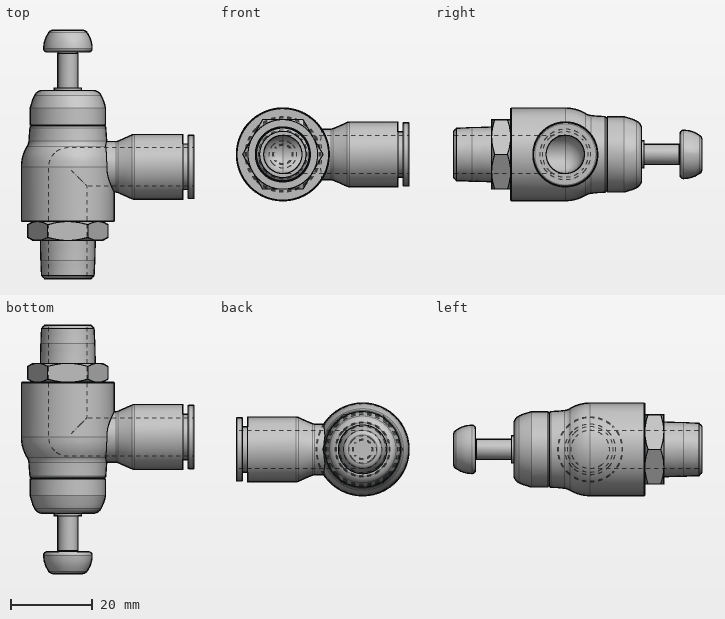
import cadquery as cq
import math


THREAD_TIP_RADIUS = 5.7
THREAD_CHAMFER_RADIUS = 6.45
THREAD_GAUGE_RADIUS, THREAD_GAUGE_HEIGHT = 6.65, 4.5
THREAD_ROOT_RADIUS = 6.8
THREAD_CHAMFER_TOP = 0.8
HEX_BOTTOM = 9.4
BORE_RADIUS = 4.7

HEX_ACROSS_FLATS = 17.1
HEX_CORNER_RADIUS = HEX_ACROSS_FLATS / math.sqrt(3)
HEX_CHAMFER_ANGLE = math.radians(30)

BODY_BOTTOM = 14.0
BODY_RADIUS = 11.4
BODY_EDGE_CHAMFER = 0.2
BRANCH_AXIS = 27.45
SHOULDER_RADIUS, SHOULDER_TOP = 10.0, 32.45
COLLAR_RADIUS, COLLAR_BOTTOM = 9.6, 33.75
COLLAR_TOP_RADIUS, COLLAR_TOP = 9.35, 37.0
GROOVE_RADIUS, GROOVE_BOTTOM, GROOVE_TOP = 9.0, 37.45, 37.75

CAP_RADIUS, CAP_CYLINDER_TOP = 9.3, 41.85
CAP_TAPER_MIDDLE = (8.85, 43.45)
CAP_TAPER_END = (8.2, 44.95)
CAP_FACE_RADIUS, CAP_TOP = 6.6, 46.2

STEM_COLLAR_RADIUS, STEM_COLLAR_TOP = 3.35, 46.8
STEM_RADIUS, STEM_TOP = 2.5, 55.25
STEM_NECK_RADIUS = 2.25
KNOB_RADIUS = 6.0
KNOB_BOTTOM = 55.6
KNOB_EDGE_ROUND = 0.9
KNOB_DOME_END = (4.7, 60.4)
KNOB_FACE_RADIUS = 3.55
TOTAL_LENGTH = 61.0

BRANCH_NECK_RADIUS = 6.2
BRANCH_RADIUS = 8.0
BRANCH_CONE_START = 12.1
BRANCH_CONE_END = 16.05
BRANCH_BLEND_RADIUS = 1.35
BRANCH_END = 28.2
COLLET_NECK_RADIUS = 5.6
FLANGE_RADIUS = 7.8
FLANGE_START = 29.45
FLANGE_EDGE_ROUND = 0.3
COLLET_END = 31.0


def turn_about_y(profile):
    """Turn a closed (radius, Y) profile a full turn about the Y axis."""
    return profile.close().revolve(360, (0, 0, 0), (0, 1, 0))


def make_threaded_end():
    """Spigot tapered in two stages with a chamfered tip, running up to the body."""
    return turn_about_y(
        cq.Workplane("XY")
        .moveTo(0, 0)
        .lineTo(THREAD_TIP_RADIUS, 0)
        .lineTo(THREAD_CHAMFER_RADIUS, THREAD_CHAMFER_TOP)
        .lineTo(THREAD_GAUGE_RADIUS, THREAD_GAUGE_HEIGHT)
        .lineTo(THREAD_ROOT_RADIUS, HEX_BOTTOM)
        .lineTo(THREAD_ROOT_RADIUS, BODY_BOTTOM)
        .lineTo(0, BODY_BOTTOM)
    )


def make_hexagon():
    """Hexagon with corners on +/-X, its corners chamfered conically at both ends."""
    flat_radius = HEX_ACROSS_FLATS / 2
    chamfer_height = (HEX_CORNER_RADIUS - flat_radius) * math.tan(HEX_CHAMFER_ANGLE)
    prism = (
        cq.Workplane("XZ", origin=(0, HEX_BOTTOM, 0))
        .polygon(6, 2 * HEX_CORNER_RADIUS)
        .extrude(HEX_BOTTOM - BODY_BOTTOM)
    )
    envelope = turn_about_y(
        cq.Workplane("XY")
        .moveTo(0, HEX_BOTTOM)
        .lineTo(flat_radius, HEX_BOTTOM)
        .lineTo(HEX_CORNER_RADIUS, HEX_BOTTOM + chamfer_height)
        .lineTo(HEX_CORNER_RADIUS, BODY_BOTTOM - chamfer_height)
        .lineTo(flat_radius, BODY_BOTTOM)
        .lineTo(0, BODY_BOTTOM)
    )
    return prism.intersect(envelope)


def make_body():
    """Cylinder with a rounded shoulder and collar, then the groove and the rounded cap."""
    collar_edge_radius = COLLAR_TOP_RADIUS - (GROOVE_BOTTOM - COLLAR_TOP)
    return turn_about_y(
        cq.Workplane("XY")
        .moveTo(0, BODY_BOTTOM)
        .lineTo(BODY_RADIUS - BODY_EDGE_CHAMFER, BODY_BOTTOM)
        .lineTo(BODY_RADIUS, BODY_BOTTOM + BODY_EDGE_CHAMFER)
        .lineTo(BODY_RADIUS, BRANCH_AXIS)
        .tangentArcPoint((SHOULDER_RADIUS, SHOULDER_TOP), relative=False)
        .tangentArcPoint((COLLAR_RADIUS, COLLAR_BOTTOM), relative=False)
        .lineTo(COLLAR_TOP_RADIUS, COLLAR_TOP)
        .tangentArcPoint((collar_edge_radius, GROOVE_BOTTOM), relative=False)
        .lineTo(GROOVE_RADIUS, GROOVE_BOTTOM)
        .lineTo(GROOVE_RADIUS, GROOVE_TOP)
        .lineTo(CAP_RADIUS, GROOVE_TOP)
        .lineTo(CAP_RADIUS, CAP_CYLINDER_TOP)
        .threePointArc(CAP_TAPER_MIDDLE, CAP_TAPER_END)
        .tangentArcPoint((CAP_FACE_RADIUS, CAP_TOP), relative=False)
        .lineTo(0, CAP_TOP)
    )


def make_stem_and_knob():
    """Stem with a small collar at its foot and a domed knob on top."""
    return turn_about_y(
        cq.Workplane("XY")
        .moveTo(0, CAP_TOP)
        .lineTo(STEM_COLLAR_RADIUS, CAP_TOP)
        .lineTo(STEM_COLLAR_RADIUS, STEM_COLLAR_TOP)
        .lineTo(STEM_RADIUS, STEM_COLLAR_TOP)
        .lineTo(STEM_RADIUS, STEM_TOP)
        .lineTo(STEM_NECK_RADIUS, KNOB_BOTTOM)
        .lineTo(KNOB_RADIUS - KNOB_EDGE_ROUND, KNOB_BOTTOM)
        .tangentArcPoint((KNOB_RADIUS, KNOB_BOTTOM + KNOB_EDGE_ROUND), relative=False)
        .tangentArcPoint(KNOB_DOME_END, relative=False)
        .tangentArcPoint((KNOB_FACE_RADIUS, TOTAL_LENGTH), relative=False)
        .lineTo(0, TOTAL_LENGTH)
    )


def branch_cylinder(radius, start, end):
    """Cylinder on the branch axis between two X positions."""
    return cq.Workplane("YZ", origin=(start, BRANCH_AXIS, 0)).circle(radius).extrude(end - start)


def make_branch():
    """Neck flaring through a blended cone to the tube socket, then the flanged release collet."""
    socket = (
        cq.Workplane("XY", origin=(0, BRANCH_AXIS, 0))
        .lineTo(0, BRANCH_NECK_RADIUS)
        .lineTo(BRANCH_CONE_START, BRANCH_NECK_RADIUS)
        .lineTo(BRANCH_CONE_END, BRANCH_RADIUS)
        .lineTo(BRANCH_END, BRANCH_RADIUS)
        .lineTo(BRANCH_END, 0)
        .close()
        .revolve(360, (0, 0, 0), (1, 0, 0))
    )
    cone_ends = cq.selectors.BoxSelector(
        (BRANCH_CONE_START / 2, BRANCH_AXIS - BRANCH_RADIUS, -BRANCH_RADIUS),
        ((BRANCH_CONE_END + BRANCH_END) / 2, BRANCH_AXIS + BRANCH_RADIUS, BRANCH_RADIUS),
    )
    socket = socket.edges("%CIRCLE").edges(cone_ends).fillet(BRANCH_BLEND_RADIUS)
    collet_neck = branch_cylinder(COLLET_NECK_RADIUS, BRANCH_END, FLANGE_START)
    flange = branch_cylinder(FLANGE_RADIUS, FLANGE_START, COLLET_END).edges().fillet(FLANGE_EDGE_ROUND)
    return socket.union(collet_neck).union(flange)


def make_bore():
    """Elbow passage: two equal bores meeting in a ball at the branch axis."""
    inlet = cq.Workplane("XZ").circle(BORE_RADIUS).extrude(-BRANCH_AXIS)
    corner = cq.Workplane("XY", origin=(0, BRANCH_AXIS, 0)).sphere(BORE_RADIUS)
    outlet = branch_cylinder(BORE_RADIUS, 0, COLLET_END)
    return inlet.union(corner).union(outlet)


result = (
    make_body()
    .union(make_threaded_end())
    .union(make_hexagon())
    .union(make_stem_and_knob())
    .union(make_branch())
    .cut(make_bore())
)